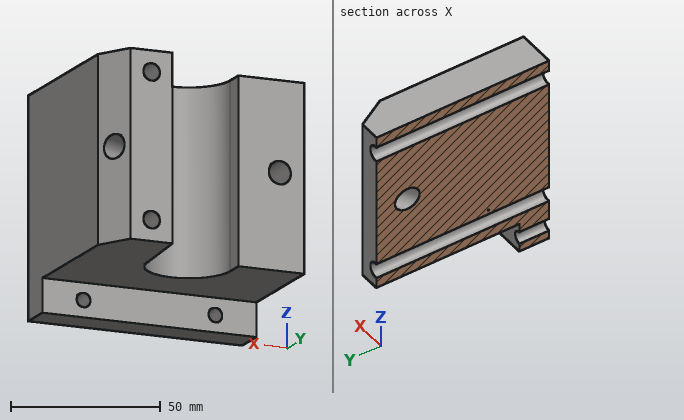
import cadquery as cq
import math

width = 78.0
depth = 70.0
height = 78.0

plate_drop = 12.0
plate_thickness = 12.0

saddle_radius = 15.0
saddle_x = width / 2
saddle_y = 45.0
short_arm_y = 51.95
tall_arm_mouth_x = 56.0

bevel_length_y = 11.7
bevel_angle = 30.0
bevel_length_x = bevel_length_y * math.tan(math.radians(bevel_angle))

clearance_diameter = 8.0
clearance_centers = [(9.0, 46.0)]
bolt_diameter = 6.0
bolt_x = 63.6
bolt_centers = [(bolt_x, 19.4), (bolt_x, 70.5)]
plate_hole_diameter = 5.0
plate_hole_z = plate_drop / 2
plate_hole_centers = [(15.0, plate_hole_z), (63.0, plate_hole_z)]

clamp_diameter = 8.5
clamp_z = plate_drop + (height - plate_drop) / 2


def make_block():
    """Saddle block with a short arm and a flared, bevelled tall arm."""
    return (
        cq.Workplane("XY", origin=(0, 0, plate_drop))
        .moveTo(0, 0)
        .lineTo(width, 0)
        .lineTo(width, depth - bevel_length_y)
        .lineTo(width - bevel_length_x, depth)
        .lineTo(tall_arm_mouth_x, depth)
        .lineTo(saddle_x + saddle_radius, saddle_y)
        .threePointArc(
            (saddle_x, saddle_y - saddle_radius),
            (saddle_x - saddle_radius, saddle_y),
        )
        .lineTo(saddle_x - saddle_radius, short_arm_y)
        .lineTo(0, short_arm_y)
        .close()
        .extrude(height - plate_drop)
    )


def make_plate():
    return cq.Workplane("XY").box(width, plate_thickness, plate_drop, centered=False)


def holes_along_y(diameter, centers):
    """Cylinders running through the full depth at the given (X, Z) centres."""
    return cq.Workplane("XZ").pushPoints(centers).circle(diameter / 2).extrude(-depth)


def make_clamp_hole():
    """Cylinder from the middle of the bevel inwards, ending in the open saddle."""
    angle = math.radians(bevel_angle)
    inward = cq.Vector(-math.cos(angle), -math.sin(angle), 0)
    bevel_middle = cq.Vector(width - bevel_length_x / 2, depth - bevel_length_y / 2, clamp_z)
    start = bevel_middle - inward * clamp_diameter
    distance_to_saddle = (bevel_middle.x - saddle_x) / math.cos(angle)
    length = clamp_diameter + distance_to_saddle
    return cq.Workplane(cq.Solid.makeCylinder(clamp_diameter / 2, length, start, inward))


result = make_block().union(make_plate())

for diameter, centers in (
    (clearance_diameter, clearance_centers),
    (bolt_diameter, bolt_centers),
    (plate_hole_diameter, plate_hole_centers),
):
    result = result.cut(holes_along_y(diameter, centers))

result = result.cut(make_clamp_hole())